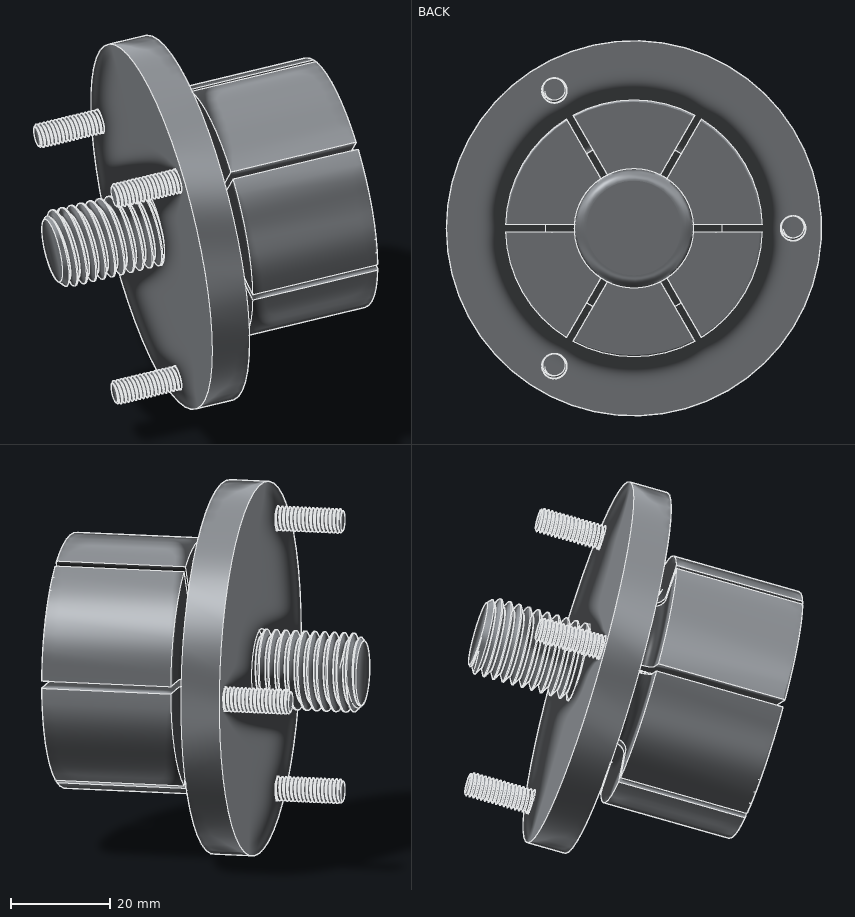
import cadquery as cq
import math


FLANGE_DIAMETER = 75.45
FLANGE_THICKNESS = 7.9
NECK_LENGTH = 4.75
SLEEVE_DIAMETER = 51.6
SLEEVE_LENGTH = 26.7
RIM_FILLET = 0.45
NECK_FILLET = NECK_LENGTH / 2
NECK_DIAMETER = 33.05
SLOT_WIDTH = 1.5
SLOT_COUNT = 6
SLOT_END_GAP = 0.3
THREAD_CLEARANCE = 0.1
SLEEVE_FRONT = FLANGE_THICKNESS + NECK_LENGTH
SLEEVE_BACK = SLEEVE_FRONT + SLEEVE_LENGTH

DRAW_DIAMETER = 16.0
DRAW_PITCH = DRAW_DIAMETER / 8
DRAW_REACH = 21.1
DRAW_TIP_CHAMFER = 1.5
DRAW_THREAD_OFFSET = -1.35
HEAD_DIAMETER = 24.0
HEAD_HEIGHT = 16.0
HEAD_FILLET = 2.5
HEAD_PROTRUSION = 0.45
HEAD_BACK = SLEEVE_BACK + HEAD_PROTRUSION
HEAD_SEAT = HEAD_BACK - HEAD_HEIGHT

STUD_DIAMETER = 5.0
STUD_PITCH = 0.16 * STUD_DIAMETER
STUD_REACH = 13.4
STUD_TIP_CHAMFER = 0.45
STUD_THREAD_OFFSET = 0.0
STUD_CIRCLE_RADIUS = 32.0
STUD_ANGLES = (60, 180, 300)

CREST_FLAT = 1 / 8
THREAD_DEPTH = 0.7
RIDGE_ROOT_DEPTH = THREAD_DEPTH + 0.05
END_OVERRUN = 4
FLANK_SLOPE = math.tan(math.radians(30))

CUT_MARGIN = 0.75


def threaded_shank(diameter, pitch, length, tip_chamfer, thread_offset):
    """Threaded rod along +Z with its chamfered tip at z = 0 and a crest on +X at thread_offset."""
    major = diameter / 2
    minor = major - THREAD_DEPTH * pitch
    overrun = END_OVERRUN * pitch
    core = (
        cq.Workplane("XY", origin=(0, 0, -overrun))
        .circle(minor)
        .extrude(length + 2 * overrun)
    )

    start = thread_offset - END_OVERRUN / 2 * pitch
    root = major - RIDGE_ROOT_DEPTH * pitch
    half_crest = CREST_FLAT * pitch / 2
    half_base = half_crest + RIDGE_ROOT_DEPTH * pitch * FLANK_SLOPE
    path = cq.Wire.makeHelix(pitch, length + overrun, major, center=cq.Vector(0, 0, start))
    ridge = (
        cq.Workplane("XZ")
        .polyline([
            (root, start - half_base),
            (major, start - half_crest),
            (major, start + half_crest),
            (root, start + half_base),
        ])
        .close()
        .sweep(cq.Workplane(path), isFrenet=True)
    )

    tip_radius = major - tip_chamfer
    outside = major + CUT_MARGIN
    envelope = (
        cq.Workplane("XZ")
        .lineTo(tip_radius, 0)
        .lineTo(outside, outside - tip_radius)
        .lineTo(outside, length)
        .lineTo(0, length)
        .close()
        .revolve(360, (0, 0, 0), (0, 1, 0))
    )
    return core.union(ridge, clean=False).intersect(envelope, clean=False)


def along_y(solid, tip_y):
    """Turn a part built along +Z to run along +Y, its tip at tip_y."""
    return solid.rotate((0, 0, 0), (1, 0, 0), -90).translate((0, tip_y, 0))


def y_cylinder(diameter, start_y, end_y):
    """Cylinder on the Y axis between two planes."""
    plane = cq.Workplane("XZ", origin=(0, start_y, 0))
    return plane.circle(diameter / 2).extrude(start_y - end_y)


def stud_positions():
    """X and Z of the small screws."""
    for angle in STUD_ANGLES:
        turn = math.radians(angle)
        yield STUD_CIRCLE_RADIUS * math.cos(turn), STUD_CIRCLE_RADIUS * math.sin(turn)


def make_collet():
    """Flange, waisted neck and slotted sleeve in one piece."""
    flange_radius = FLANGE_DIAMETER / 2
    neck_radius = NECK_DIAMETER / 2
    sleeve_radius = SLEEVE_DIAMETER / 2
    flare_radius = neck_radius + NECK_FILLET
    neck_middle = FLANGE_THICKNESS + NECK_FILLET
    collet = (
        cq.Workplane("XY")
        .lineTo(flange_radius, 0)
        .lineTo(flange_radius, FLANGE_THICKNESS)
        .lineTo(flare_radius, FLANGE_THICKNESS)
        .radiusArc((neck_radius, neck_middle), NECK_FILLET)
        .radiusArc((flare_radius, SLEEVE_FRONT), NECK_FILLET)
        .lineTo(sleeve_radius, SLEEVE_FRONT)
        .lineTo(sleeve_radius, SLEEVE_BACK - RIM_FILLET)
        .radiusArc((sleeve_radius - RIM_FILLET, SLEEVE_BACK), -RIM_FILLET)
        .lineTo(0, SLEEVE_BACK)
        .close()
        .revolve(360, (0, 0, 0), (0, 1, 0))
    )

    slot_front = FLANGE_THICKNESS + SLOT_END_GAP
    slot = cq.Workplane("XY").box(
        sleeve_radius + CUT_MARGIN, SLEEVE_BACK - slot_front, SLOT_WIDTH, centered=(False, False, True)
    ).translate((0, slot_front, 0))
    for index in range(SLOT_COUNT):
        collet = collet.cut(slot.rotate((0, 0, 0), (0, 1, 0), index * 360 / SLOT_COUNT))

    collet = collet.cut(y_cylinder(DRAW_DIAMETER + THREAD_CLEARANCE, 0, SLEEVE_BACK))
    collet = collet.cut(y_cylinder(HEAD_DIAMETER, HEAD_SEAT, SLEEVE_BACK))

    stud_hole = y_cylinder(STUD_DIAMETER + THREAD_CLEARANCE, 0, FLANGE_THICKNESS)
    for x, z in stud_positions():
        collet = collet.cut(stud_hole.translate((x, 0, z)))
    return collet


def make_draw_screw():
    """Fully threaded screw with a round-edged cylindrical head."""
    shank_length = DRAW_REACH + HEAD_SEAT
    shank = threaded_shank(
        DRAW_DIAMETER, DRAW_PITCH, shank_length, DRAW_TIP_CHAMFER, DRAW_THREAD_OFFSET
    )
    head = (
        cq.Workplane("XY", origin=(0, 0, shank_length))
        .circle(HEAD_DIAMETER / 2)
        .extrude(HEAD_HEIGHT)
        .faces(">Z")
        .edges()
        .fillet(HEAD_FILLET)
    )
    return along_y(shank.union(head, clean=False), -DRAW_REACH)


def make_mounting_screws():
    """Small threaded screws through the flange, flush with its back face."""
    shank = threaded_shank(
        STUD_DIAMETER, STUD_PITCH, STUD_REACH + FLANGE_THICKNESS, STUD_TIP_CHAMFER, STUD_THREAD_OFFSET
    )
    screw = along_y(shank, -STUD_REACH)
    return [screw.translate((x, 0, z)) for x, z in stud_positions()]


collet = make_collet()
draw_screw = make_draw_screw()
mounting_screws = make_mounting_screws()

result = cq.Compound.makeCompound(
    [
        collet.solids().val(),
        draw_screw.solids().val(),
        *[screw.solids().val() for screw in mounting_screws],
    ]
)